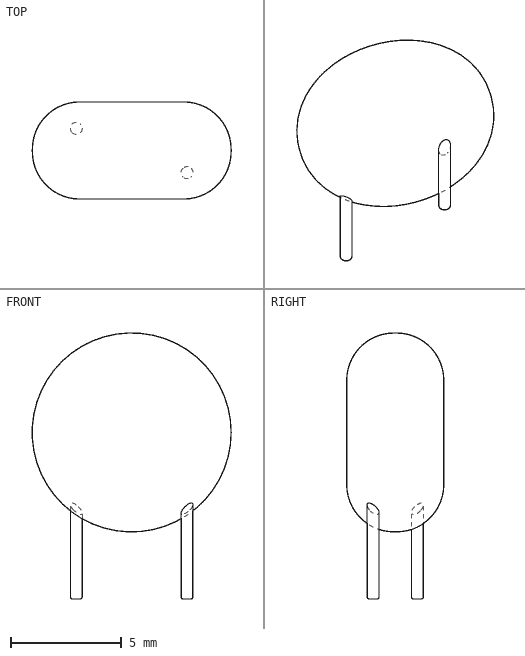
import cadquery as cq

body_diameter = 9.0
body_thickness = 4.4
rim_width = 0.1
edge_radius = (body_thickness - rim_width) / 2

lead_diameter = 0.54
lead_spacing_x = 5.0
lead_spacing_y = 2.0
lead_tip_z = -7.53
lead_top_z = -2.5
tip_round = 0.1


def make_body():
    """Disc with both rims rounded."""
    back_face = cq.Workplane("XZ", origin=(0, body_thickness / 2, 0))
    disc = back_face.circle(body_diameter / 2).extrude(body_thickness)
    return disc.edges("%CIRCLE").fillet(edge_radius)


def make_lead(x, y):
    """Vertical wire with a rounded lower tip."""
    wire = (
        cq.Workplane("XY", origin=(x, y, lead_tip_z))
        .circle(lead_diameter / 2)
        .extrude(lead_top_z - lead_tip_z)
    )
    return wire.faces("<Z").edges().fillet(tip_round)


result = make_body()
for side in (-1, 1):
    result = result.union(make_lead(side * lead_spacing_x / 2, -side * lead_spacing_y / 2))